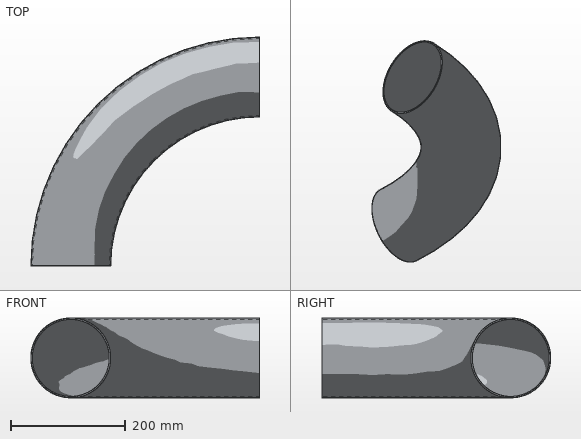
import cadquery as cq

outer_diameter = 139.7
wall_thickness = 2.6
bend_radius = 330.0
bend_angle = 90.0

inner_diameter = outer_diameter - 2 * wall_thickness


def pipe_bend():
    """Revolve the pipe's ring section about a vertical axis at X = bend_radius, Y = 0.

    The pipe starts at the origin with an open end facing -Y
    and finishes with an open end facing +X.
    """
    ring = cq.Workplane("XZ").circle(outer_diameter / 2).circle(inner_diameter / 2)
    axis_start = (bend_radius, 0, 0)
    axis_end = (bend_radius, -1, 0)
    return ring.revolve(bend_angle, axis_start, axis_end)


result = pipe_bend()